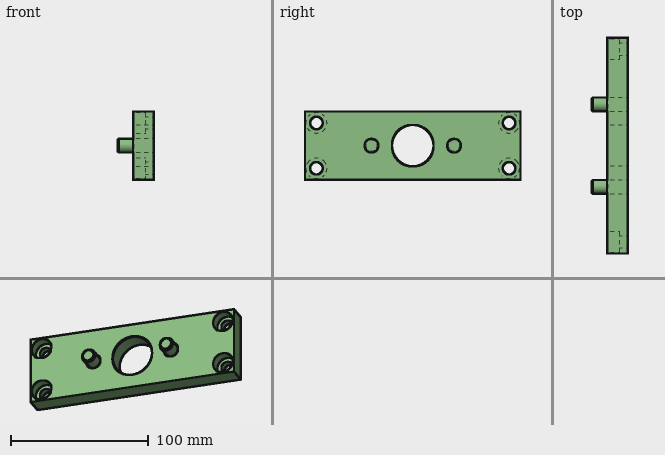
import cadquery as cq

plate_length = 157.0
plate_height = 50.0
plate_thickness = 15.0

bore_diameter = 30.0
edge_break = 0.5

screw_pitch_y = 140.0
screw_pitch_z = 33.0
screw_diameter = 9.0
counterbore_diameter = 15.0
counterbore_depth = 9.0

pin_diameter = 10.0
pin_pitch = 60.0
pin_projection = 11.3
pin_chamfer = 1.0
pin_length = plate_thickness + pin_projection

pin_positions = [side * pin_pitch / 2 for side in (-1, 1)]


def cylinder_along_x(diameter, length, x, y, z):
    """Cylinder that starts at (x, y, z) and runs toward +X."""
    return cq.Workplane("YZ", origin=(x, y, z)).circle(diameter / 2).extrude(length)


def broken_edge_hole(diameter, y):
    """Cutter for a through hole at mid height, chamfered at the front face (X = 0)."""
    hole = cylinder_along_x(diameter, plate_thickness, 0, y, 0)
    countersink = cq.Solid.makeCone(
        diameter / 2 + edge_break,
        diameter / 2,
        edge_break,
        pnt=cq.Vector(0, y, 0),
        dir=cq.Vector(1, 0, 0),
    )
    return hole.union(cq.Workplane(countersink))


def counterbored_hole(y, z):
    """Cutter for a screw hole with its counterbore in the front face (X = 0)."""
    hole = cylinder_along_x(screw_diameter, plate_thickness, 0, y, z)
    return hole.union(cylinder_along_x(counterbore_diameter, counterbore_depth, 0, y, z))


def make_plate():
    """Plate with its front face at X = 0, centred in Y and Z."""
    plate = cq.Workplane("XY").box(
        plate_thickness, plate_length, plate_height, centered=(False, True, True)
    )
    plate = plate.cut(broken_edge_hole(bore_diameter, 0))
    for y in pin_positions:
        plate = plate.cut(broken_edge_hole(pin_diameter, y))
    for side_y in (-1, 1):
        for side_z in (-1, 1):
            plate = plate.cut(counterbored_hole(side_y * screw_pitch_y / 2, side_z * screw_pitch_z / 2))
    return plate


def make_pin(y):
    """Dowel pin, chamfered at its projecting end and flush with the plate's back."""
    pin = cylinder_along_x(pin_diameter, pin_length, -pin_projection, y, 0)
    return pin.faces("<X").chamfer(pin_chamfer)


plate = make_plate()
pins = [make_pin(y) for y in pin_positions]

result = cq.Compound.makeCompound([plate.val(), *[pin.val() for pin in pins]])